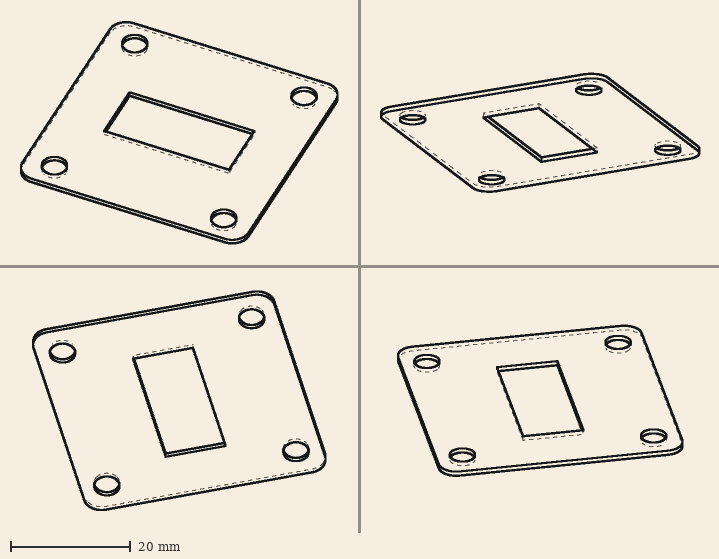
import cadquery as cq

plate_side = 41.4
plate_thickness = 0.83
corner_radius = 3.0

window_length = 22.85
window_width = 10.25

hole_diameter = 4.25
hole_spacing_x = 31.0
hole_spacing_y = 32.5

plate = (
    cq.Workplane("XY")
    .rect(plate_side, plate_side)
    .extrude(plate_thickness)
    .edges("|Z")
    .fillet(corner_radius)
)

window = (
    cq.Workplane("XY")
    .rect(window_length, window_width)
    .extrude(plate_thickness)
)

bolt_holes = (
    cq.Workplane("XY")
    .rect(hole_spacing_x, hole_spacing_y, forConstruction=True)
    .vertices()
    .circle(hole_diameter / 2)
    .extrude(plate_thickness)
)

result = plate.cut(window).cut(bolt_holes)